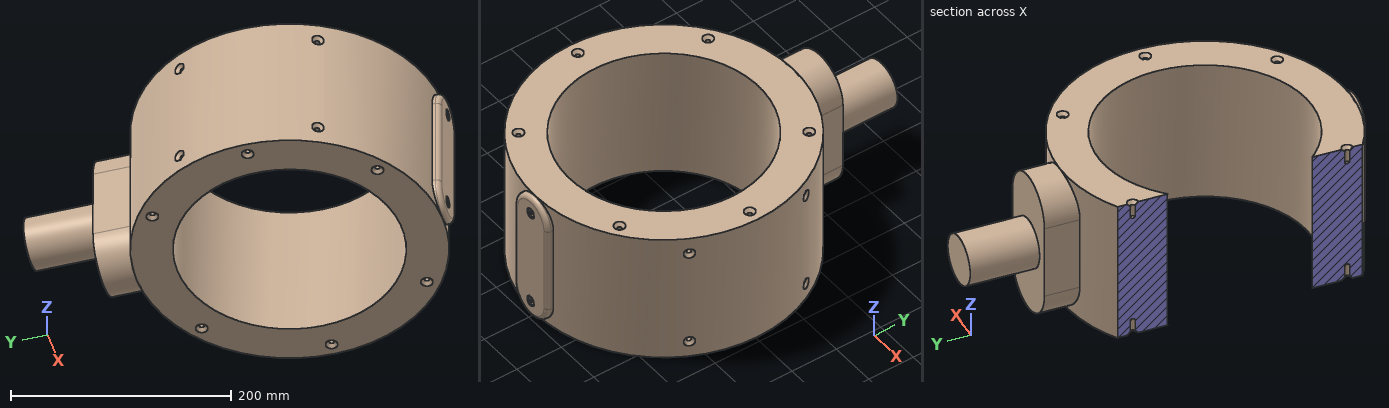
import cadquery as cq
import math

ring_diameter = 290.0
bore_diameter = 212.0
height = 145.0
ring_radius = ring_diameter / 2

overall_length = 395.5
boss_width = 70.8
boss_end_y = 176.0
tube_diameter = 50.0
tube_end_y = 245.0

plate_width = 50.0
plate_face_y = tube_end_y - overall_length
plate_edge_radius = 4.7

hole_diameter = 4.5
countersink_diameter = 11.0
countersink_depth = (countersink_diameter - hole_diameter) / 2
hole_depth = 16.0
drill_tip_angle = 118
drill_tip_depth = hole_diameter / 2 / math.tan(math.radians(drill_tip_angle / 2))
hole_circle_radius = 132.0
hole_angle = 54
end_face_angles = (0, hole_angle, 180 - hole_angle, 180, 180 + hole_angle, -hole_angle)
side_angle = hole_angle / 2
side_angles = (side_angle, 180 - side_angle, 180 + side_angle, -side_angle)
screw_row_z = 54.0

counterbore_diameter = 10.5
counterbore_depth = 4.0
screw_head_diameter = 8.5
screw_head_height = 3.0
socket_diameter = 3.0
socket_depth = 2.0


def obround_along_y(width, start_y, end_y):
    """Full-height upright obround, extruded in +Y from start_y to end_y."""
    plane = cq.Plane(origin=(0, start_y, 0), xDir=(1, 0, 0), normal=(0, 1, 0))
    return cq.Workplane(plane).slot2D(height, width, 90).extrude(end_y - start_y)


def cylinder_along_y(diameter, start_y, end_y):
    """Round bar with its axis at X = Z = 0, from start_y to end_y."""
    plane = cq.Plane(origin=(0, start_y, 0), xDir=(1, 0, 0), normal=(0, 1, 0))
    return cq.Workplane(plane).circle(diameter / 2).extrude(end_y - start_y)


def countersunk_hole(entry, inward):
    """Cutter for a blind countersunk hole from entry along the direction inward."""
    hole_radius = hole_diameter / 2
    shoulder = entry + inward * hole_depth
    drill = cq.Solid.makeCylinder(hole_radius, hole_depth, entry, inward)
    tip = cq.Solid.makeCone(hole_radius, 0, drill_tip_depth, shoulder, inward)
    sink = cq.Solid.makeCone(countersink_diameter / 2, hole_radius, countersink_depth, entry, inward)
    return cq.Workplane(drill.fuse(tip, sink))


def radial_direction(angle):
    """Unit vector in the XY plane at the given angle in degrees from +X."""
    return cq.Vector(math.cos(math.radians(angle)), math.sin(math.radians(angle)), 0)


def make_body():
    """Ring with the boss, tube and cover plate joined on and the bore cut through."""
    ring = cq.Workplane("XY").circle(ring_radius).extrude(height / 2, both=True)
    boss = obround_along_y(boss_width, 0, boss_end_y)
    tube = cylinder_along_y(tube_diameter, 0, tube_end_y)
    plate = obround_along_y(plate_width, plate_face_y, 0)
    plate = plate.faces("<Y").edges().fillet(plate_edge_radius)
    bore = cq.Workplane("XY").circle(bore_diameter / 2).extrude(height, both=True)
    return ring.union(boss).union(tube).union(plate).cut(bore)


def cut_end_face_holes(body):
    """Countersunk holes on one circle, in both end faces of the ring."""
    for angle in end_face_angles:
        for side in (1, -1):
            entry = radial_direction(angle) * hole_circle_radius + cq.Vector(0, 0, side * height / 2)
            body = body.cut(countersunk_hole(entry, cq.Vector(0, 0, -side)))
    return body


def cut_side_holes(body):
    """Two rows of radial countersunk holes in the outer wall of the ring."""
    for angle in side_angles:
        outward = radial_direction(angle)
        for z in (screw_row_z, -screw_row_z):
            entry = outward * ring_radius + cq.Vector(0, 0, z)
            body = body.cut(countersunk_hole(entry, outward * -1))
    return body


def add_plate_screws(body):
    """Counterbores in the cover plate, each holding a screw head with a socket."""
    floor_y = plate_face_y + counterbore_depth
    head_y = floor_y - screw_head_height
    counterbore = cylinder_along_y(counterbore_diameter, plate_face_y, floor_y)
    head = cylinder_along_y(screw_head_diameter, head_y, floor_y)
    socket = cylinder_along_y(socket_diameter, head_y, head_y + socket_depth)
    clearance = counterbore.cut(head.cut(socket))
    for z in (screw_row_z, -screw_row_z):
        body = body.cut(clearance.translate((0, 0, z)))
    return body


result = add_plate_screws(cut_side_holes(cut_end_face_holes(make_body())))